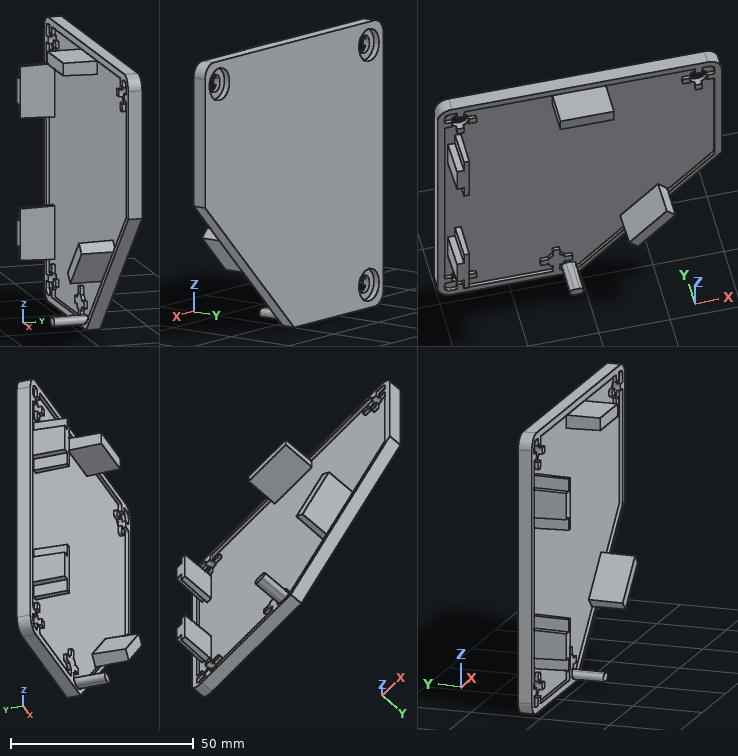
import cadquery as cq

SIDE = 80.0
PLATE_THICKNESS = 4.0
CUT_START = SIDE / 2
CORNER_RADIUS = 4.0
RECESS_CORNER_RADIUS = 1.6
RIM = 2.0
RECESS_DEPTH = 1.0
OVERALL_DEPTH = 12.8

BOSS_INSET = 6.5
HOLE_DIAMETER = 5.0
CROSS_SPAN = 9.0
SCREW_HEAD_DIAMETER = 9.0
SCREW_HEAD_DEPTH = 1.8
RIB_WIDTH = 1.9
RIB_CORNER_RADIUS = 0.5

BLOCK_LENGTH = 15.0
BLOCK_WIDTH = 3.8
BLOCK_EDGE_GAP = 2.7
DIAGONAL_EDGE_GAP = 1.8
DIAGONAL_SHIFT = 1.3
DIAGONAL_TURN = 135
CLIP_EDGE_GAP = 3.1
EAR_WIDTH = 1.7
TONGUE_LENGTH = 8.0
TONGUE_WIDTH = 2.0
CLIP_CENTER = 20.0
TIP_RELIEF = 0.2

PEG_X = 37.1
PEG_Z = 2.3
PEG_LENGTH = 4.0
PEG_WIDTH = 2.4

FLOOR_DEPTH = PLATE_THICKNESS - RECESS_DEPTH
POST_HEIGHT = OVERALL_DEPTH - FLOOR_DEPTH


def sketch_at(depth):
    """X-Z workplane at a depth measured from the back face toward -Y."""
    return cq.Workplane("XZ", origin=(0, -depth, 0))


def five_sided(depth, inset, height):
    """Square prism, inset from the plate's straight sides, with its lower right corner cut off."""
    low = inset
    high = SIDE - inset
    outline = [(low, low), (CUT_START, low), (high, CUT_START), (high, high), (low, high)]
    return sketch_at(depth).polyline(outline).close().extrude(height)


def round_corners(prism, radius):
    """Round the three square corners of a five-sided prism."""
    box = prism.val().BoundingBox()
    for x, z in [(box.xmin, box.zmin), (box.xmin, box.zmax), (box.xmax, box.zmax)]:
        corner = cq.selectors.NearestToPointSelector((x, box.center.y, z))
        prism = prism.edges(corner).fillet(radius)
    return prism


def cross(x, z):
    """Two crossing bars whose outer tips run into the rim where it is close."""
    bars = sketch_at(FLOOR_DEPTH).center(x, z).rect(CROSS_SPAN, RIB_WIDTH).extrude(RECESS_DEPTH)
    return bars.union(sketch_at(FLOOR_DEPTH).center(x, z).rect(RIB_WIDTH, CROSS_SPAN).extrude(RECESS_DEPTH))


def drafted_post(base, tip):
    """Post from the recess floor whose outline changes from base to tip."""
    post = sketch_at(FLOOR_DEPTH).polyline(base).close()
    return post.workplane(offset=POST_HEIGHT).polyline(tip).close().loft(ruled=True)


def block_outline(relief):
    """Rectangle hanging below Z = 0, with its lower side raised by relief."""
    half = BLOCK_LENGTH / 2
    low = -BLOCK_WIDTH + relief
    return [(-half, 0), (half, 0), (half, low), (-half, low)]


def clip_outline(relief):
    """T shape with a straight back on X = 0 and its tongue toward -X."""
    ear_end = BLOCK_LENGTH / 2 - relief
    tongue_end = TONGUE_LENGTH / 2 - relief
    ear_face = -EAR_WIDTH + relief
    tongue_face = -EAR_WIDTH - TONGUE_WIDTH + relief
    return [
        (0, -ear_end), (0, ear_end), (ear_face, ear_end), (ear_face, tongue_end),
        (tongue_face, tongue_end), (tongue_face, -tongue_end),
        (ear_face, -tongue_end), (ear_face, -ear_end),
    ]


far = SIDE - BOSS_INSET
drilled = [(BOSS_INSET, BOSS_INSET), (BOSS_INSET, far), (far, far)]
undrilled = (CUT_START - BOSS_INSET, BOSS_INSET)
bosses = drilled + [undrilled]

recess = five_sided(FLOOR_DEPTH, RIM, RECESS_DEPTH)
for x, z in bosses:
    recess = recess.cut(cross(x, z))
recess = recess.edges("|Y").fillet(RIB_CORNER_RADIUS)
recess = recess.intersect(round_corners(five_sided(FLOOR_DEPTH, RIM, RECESS_DEPTH), RECESS_CORNER_RADIUS))
boss_cores = sketch_at(FLOOR_DEPTH).pushPoints(bosses).circle(HOLE_DIAMETER / 2).extrude(RECESS_DEPTH)
recess = recess.cut(boss_cores)

result = round_corners(five_sided(0, 0, PLATE_THICKNESS), CORNER_RADIUS).cut(recess)

result = result.cut(sketch_at(0).pushPoints(drilled).circle(HOLE_DIAMETER / 2).extrude(PLATE_THICKNESS))
head_pockets = sketch_at(0).pushPoints(drilled).circle(SCREW_HEAD_DIAMETER / 2).extrude(SCREW_HEAD_DEPTH)
result = result.cut(head_pockets)

block = drafted_post(block_outline(0), block_outline(TIP_RELIEF))
result = result.union(block.translate((SIDE / 2, 0, SIDE - BLOCK_EDGE_GAP)))
diagonal_block = block.translate((-DIAGONAL_SHIFT, 0, -DIAGONAL_EDGE_GAP))
diagonal_block = diagonal_block.rotate((0, 0, 0), (0, 1, 0), DIAGONAL_TURN)
diagonal_middle = (SIDE + CUT_START) / 2
result = result.union(diagonal_block.translate((diagonal_middle, 0, SIDE - diagonal_middle)))

clip = drafted_post(clip_outline(0), clip_outline(TIP_RELIEF))
clip_back = CLIP_EDGE_GAP + TONGUE_WIDTH + EAR_WIDTH
for z in (CLIP_CENTER, SIDE - CLIP_CENTER):
    result = result.union(clip.translate((clip_back, 0, z)))

peg = sketch_at(FLOOR_DEPTH).center(PEG_X, PEG_Z).slot2D(PEG_LENGTH, PEG_WIDTH).extrude(POST_HEIGHT)
result = result.union(peg)